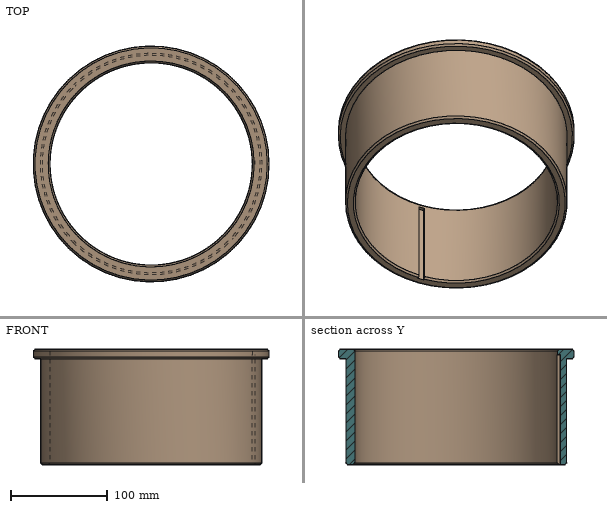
import cadquery as cq

flange_diameter = 245.0
barrel_diameter = 230.0
bore_diameter = 210.0
total_height = 120.0
flange_height = 10.0
edge_chamfer = 2.0

groove_width = 6.0
groove_depth = 3.0
groove_end_margin = 6.0
groove_top = total_height - groove_end_margin

barrel = cq.Workplane("XY").circle(barrel_diameter / 2).extrude(total_height)
barrel = barrel.faces("<Z").edges().chamfer(edge_chamfer)

flange = (
    cq.Workplane("XY")
    .workplane(offset=total_height - flange_height)
    .circle(flange_diameter / 2)
    .extrude(flange_height)
    .faces("<Z or >Z")
    .edges()
    .chamfer(edge_chamfer)
)

bore = cq.Workplane("XY").circle(bore_diameter / 2).extrude(total_height)
bushing = barrel.union(flange).cut(bore)
bore_mouths = cq.selectors.RadiusNthSelector(0)
bushing = bushing.edges(bore_mouths).chamfer(edge_chamfer)

groove = cq.Workplane("XY").box(
    bore_diameter / 2 + groove_depth, groove_width, groove_top, centered=(False, True, False)
)
result = bushing.cut(groove)